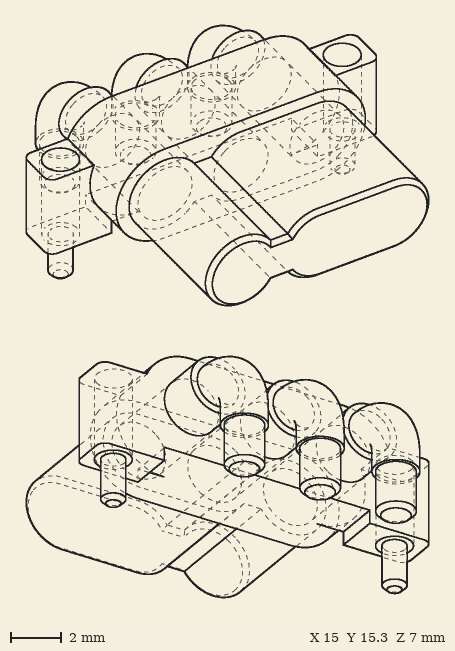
import cadquery as cq


flange_depth = 4.0
flange_width = 11.5
flange_height = 4.4

bar_width = 15.3
bar_depth = 2.0
bar_top = 0.9
bar_bottom = -2.8
bar_corner_radius = 0.4
notch_width = 9.5

plug_length = 6.0
plug_height = 3.3
plug_chamfer = 0.2
web_height = 1.9

contact_pitch = 3.5
collar_diameter = 2.5
collar_length = 2.0
bend_diameter = 1.9
bend_radius = 2.0
tail_diameter = 1.6

pin_spacing = 13.0
pin_head_diameter = 1.5
pin_diameter = 1.0

tail_length = 2.0
tip_chamfer = 0.2

contact_positions = [-contact_pitch, 0.0, contact_pitch]
pin_positions = [-pin_spacing / 2, pin_spacing / 2]
pin_x = bar_depth / 2
tail_bottom = bar_bottom - tail_length


def x_cylinder(diameter, x_start, length, y):
    """Cylinder along +X on the contact axis height."""
    return cq.Workplane("YZ", origin=(x_start, y, 0)).circle(diameter / 2).extrude(length)


def z_cylinder(diameter, x, y, z_bottom, z_top):
    """Upright cylinder between two heights."""
    return cq.Workplane("XY", origin=(x, y, z_bottom)).circle(diameter / 2).extrude(z_top - z_bottom)


def chamfered_tail(diameter, x, y):
    """Upright tail below the bar with a chamfered lower tip."""
    return z_cylinder(diameter, x, y, tail_bottom, bar_bottom).faces("<Z").chamfer(tip_chamfer)


def make_flange():
    return cq.Workplane("YZ").slot2D(flange_width, flange_height).extrude(flange_depth)


def make_mounting_bar():
    bar = (
        cq.Workplane("XY", origin=(pin_x, 0, bar_bottom))
        .rect(bar_depth, bar_width)
        .extrude(bar_top - bar_bottom)
        .edges("|Z")
        .fillet(bar_corner_radius)
    )
    notch_height = -flange_height / 2 - bar_bottom
    notch = (
        cq.Workplane("XY", origin=(pin_x, 0, bar_bottom))
        .rect(bar_depth, notch_width)
        .extrude(notch_height)
    )
    return bar.cut(notch)


def make_plug():
    base = cq.Workplane("YZ", origin=(flange_depth, 0, 0))
    wide_lobe = (
        base.center(contact_pitch / 2, 0)
        .slot2D(contact_pitch + plug_height, plug_height)
        .extrude(plug_length)
    )
    round_lobe = x_cylinder(plug_height, flange_depth, plug_length, -contact_pitch)
    web = (
        cq.Workplane("YZ", origin=(flange_depth, -contact_pitch / 2, 0))
        .rect(contact_pitch, web_height)
        .extrude(plug_length)
    )
    return wide_lobe.union(round_lobe).union(web).faces(">X").chamfer(plug_chamfer)


def make_housing():
    body = make_flange().union(make_mounting_bar()).union(make_plug())
    for y in contact_positions:
        body = body.cut(x_cylinder(collar_diameter, 0, flange_depth, y))
    for y in pin_positions:
        body = body.cut(z_cylinder(pin_head_diameter, pin_x, y, bar_bottom, bar_top))
    return body


def make_contact(y):
    """Collar seated through the flange, quarter bend, then a stepped tail pointing down."""
    collar = x_cylinder(collar_diameter, -collar_length, collar_length + flange_depth, y)
    bend = (
        cq.Workplane("YZ", origin=(-collar_length, y, 0))
        .circle(bend_diameter / 2)
        .revolve(90, (0, -bend_radius, 0), (-1, -bend_radius, 0))
    )
    tail_x = -collar_length - bend_radius
    straight = z_cylinder(bend_diameter, tail_x, y, bar_bottom, -bend_radius)
    tail = chamfered_tail(tail_diameter, tail_x, y)
    return collar.union(bend).union(straight).union(tail)


def make_board_pin(y):
    """Head filling the lug bore, with a thinner tail below the lug."""
    head = z_cylinder(pin_head_diameter, pin_x, y, bar_bottom, bar_top)
    return head.union(chamfered_tail(pin_diameter, pin_x, y))


housing = make_housing()
contacts = [make_contact(y) for y in contact_positions]
board_pins = [make_board_pin(y) for y in pin_positions]

result = cq.Compound.makeCompound([body.val() for body in [housing, *contacts, *board_pins]])